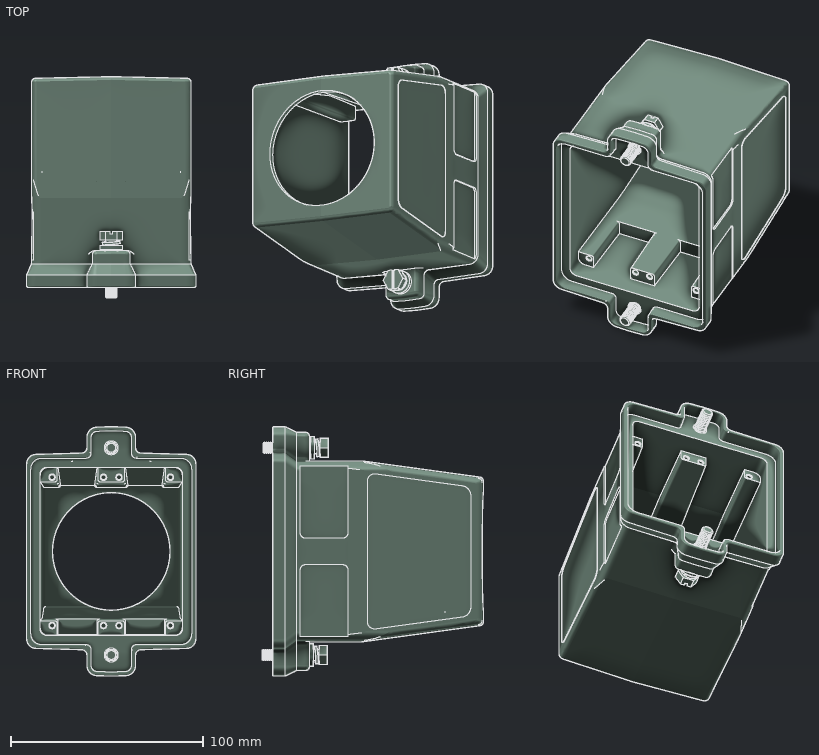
import cadquery as cq
import math


CLEARANCE = 1.3

FLANGE_HALF_X = 88.3 / 2
FLANGE_EDGE_Z = 50.5
FLANGE_CROWN_Z = 51.4
FLANGE_CORNER_R = 5.1
FLANGE_Y = 6.5
BODY_START_Y = 12.4
RIM_ROUND = 0.8

TAB_HALF_X = 12.7
TAB_RIDGE_Z = 65.0
TAB_EDGE_Z = 64.6
TAB_CORNER_R = 5.5
TAB_JUNCTION_R = 2.6
TAB_TAPER = 2.9
TAB_BACK_Y = 19.2
TAB_FLARE_Z = 46.9
TAB_FLARE_MARGIN = 0.8
TAB_BACK_ROUND = 2.3
SCREW_Z = 54.0
SCREW_HOLE_D = 7.3

RIM_WALL = 2.0
RIM_INNER_ROUND = 0.4
RECESS_Y = 6.5
RECESS_HALF_Z = 48.8
RECESS_CORNER_R = 5.7
RECESS_DRAFT = 0.3

BODY_HALF_X = 41.6
BODY_EDGE_Z = 46.4
BODY_RIDGE_Z = 47.2
BODY_CORNER_R = 5.2
SLOPE_START_Y = 46.4
BACK_Y = 109.8
BACK_SIDE_Y = 109.0
BACK_DROP_Z = 8.7
SLOPE_CORNER_R = 3.0
BACK_ROUND = 2.2

WAIST_DEPTH = 0.4
WAIST_Y = 39.3
RAMP_END_Y = 49.3
GRIP_HALF_X = 40.5
GRIP_START_Y = 14.3
GRIP_INNER_Z = 6.9
GRIP_CORNER_R = 2.9
LABEL_DEPTH = 0.3
LABEL_BACK_Y = 103.2
LABEL_FRONT_Z = 41.0
LABEL_BACK_Z = 33.5
LABEL_FRONT_R = 3.9
LABEL_BACK_R = 5.2

CAVITY_HALF_X = 37.2
CAVITY_BACK_HALF_X = 35.1
CAVITY_HALF_Z = 43.8
CAVITY_CORNER_R = 3.9
CAVITY_BACK_Y = 106.0
CAVITY_BACK_ROUND = 1.0
POST_FRONT_Y = 16.2
POST_INNER_Z = 36.1
UPPER_BACK_Z = 33.3
ROOF_BACK_Z = 34.3
POST_ROUND = 1.3
FLOOR_BEND_Y = 66.3
FLOOR_BEND_Z = 34.7
FLOOR_BEND_R = 44.2
FLOOR_BACK_Z = 29.4
CABLE_HOLE_R = 30.5
CABLE_HOLE_START_Y = 91.0

POCKET_INNER_X = 6.9
POCKET_OUTER_X = 28.2
POCKET_DEEP_Z = 43.2
POST_SIDE_DRAFT = 1.8

MOUNT_X = (4.0, 30.8)
MOUNT_Z = 38.6
MOUNT_HOLE_R = 1.3
MOUNT_MOUTH_R = 1.7
MOUNT_DEPTH = 13.0

HEAD_FLATS = 10.0
HEAD_HEIGHT = 4.3
SLOT_WIDTH = 1.3
SLOT_DEPTH = 1.2
SPRING_WASHER_R = 4.7
SPRING_WASHER_T = 1.2
SPRING_WASHER_TILT = 6.0
WASHER_R = 6.0
WASHER_T = 2.0
WASHER_TO_HEAD = 3.0
THREAD_R = 3.0
THREAD_ROOT_R = 2.5
THREAD_PITCH = 1.0
THREAD_TURNS = 12
TIP_CHAMFER = 0.6
BOLT_LENGTH = 24.8
UPPER_BOLT_LIFT = 0.58


def rounded_wire(corners, place):
    """Closed wire through corners (u, v, radius); place(u, v) gives the point in space."""
    starts, middles, ends = [], [], []
    count = len(corners)
    for i, (u, v, radius) in enumerate(corners):
        here = cq.Vector(u, v)
        back = (cq.Vector(*corners[i - 1][:2]) - here).normalized()
        ahead = (cq.Vector(*corners[(i + 1) % count][:2]) - here).normalized()
        half_angle = back.getAngle(ahead) / 2
        tangent = radius / math.tan(half_angle)
        to_arc = radius / math.sin(half_angle) - radius
        starts.append(here + back * tangent)
        ends.append(here + ahead * tangent)
        middles.append(here + (back + ahead).normalized() * to_arc if radius else here)
    starts, middles, ends = ([place(p.x, p.y) for p in group] for group in (starts, middles, ends))
    edges = []
    for i in range(count):
        if corners[i][2]:
            edges.append(cq.Edge.makeThreePointArc(starts[i], middles[i], ends[i]))
        edges.append(cq.Edge.makeLine(ends[i], starts[(i + 1) % count]))
    return cq.Wire.assembleEdges(edges)


def section(corners, y):
    """Wire of (x, z, radius) corners in the plane at this Y."""
    return rounded_wire(corners, lambda x, z: cq.Vector(x, y, z))


def prism(corners, y_start, y_end):
    """Outline of (x, z, radius) corners extruded along Y."""
    wire = section(corners, y_start)
    return cq.Workplane(obj=cq.Solid.extrudeLinear(wire, [], cq.Vector(0, y_end - y_start, 0)))


def taper(start_corners, y_start, end_corners, y_end):
    """Ruled solid between two outlines with matching corners."""
    wires = [section(start_corners, y_start), section(end_corners, y_end)]
    return cq.Workplane(obj=cq.Solid.makeLoft(wires, True))


def side_prism(corners, x_start, x_end):
    """Outline of (y, z, radius) corners extruded along X."""
    wire = rounded_wire(corners, lambda y, z: cq.Vector(x_start, y, z))
    return cq.Workplane(obj=cq.Solid.extrudeLinear(wire, [], cq.Vector(x_end - x_start, 0, 0)))


def plan_prism(corners, half_z):
    """Outline of (x, y, radius) corners extruded along Z, centred on Z = 0."""
    wire = rounded_wire(corners, lambda x, y: cq.Vector(x, y, -half_z))
    return cq.Workplane(obj=cq.Solid.extrudeLinear(wire, [], cq.Vector(0, 0, 2 * half_z)))


def four_way(quarter):
    """Complete an outline from its +X +Z quarter, listed from the right side up to the top."""
    left = [(-x, z, r) for x, z, r in reversed(quarter) if x > 0]
    upper = quarter + left
    return upper + [(-x, -z, r) for x, z, r in upper]


def box(x_range, y_range, z_range):
    size = [high - low for low, high in (x_range, y_range, z_range)]
    corner = (x_range[0], y_range[0], z_range[0])
    return cq.Workplane("XY").box(*size, centered=False).translate(corner)


def rod(radius, y_start, y_end, x=0, z=0):
    """Cylinder along Y."""
    axis = cq.Vector(0, 1, 0)
    return cq.Workplane(obj=cq.Solid.makeCylinder(radius, y_end - y_start, cq.Vector(x, y_start, z), axis))


def flange_outline(half_x, edge_z, crown_z, corner_r, tab_half_x, tab_inset, tab_r):
    return four_way([
        (half_x, edge_z, corner_r),
        (tab_half_x, crown_z, TAB_JUNCTION_R),
        (tab_half_x, TAB_EDGE_Z - tab_inset, tab_r),
        (0, TAB_RIDGE_Z - tab_inset, 0),
    ])


def make_flange():
    rim_outline = flange_outline(
        FLANGE_HALF_X, FLANGE_EDGE_Z, FLANGE_CROWN_Z, FLANGE_CORNER_R,
        TAB_HALF_X, 0, TAB_CORNER_R,
    )
    base_outline = flange_outline(
        BODY_HALF_X, BODY_EDGE_Z, BODY_RIDGE_Z, BODY_CORNER_R,
        TAB_HALF_X - TAB_TAPER, TAB_TAPER, TAB_CORNER_R - TAB_TAPER,
    )
    rim = prism(rim_outline, 0, FLANGE_Y).faces("<Y").edges().fillet(RIM_ROUND)
    return rim.union(taper(rim_outline, FLANGE_Y, base_outline, BODY_START_Y))


def make_tab_back():
    """Upper tab behind the taper, flared where it meets the roof and rounded at its rear."""
    half_x = TAB_HALF_X - TAB_TAPER
    flare_x = half_x + TAB_JUNCTION_R + TAB_FLARE_MARGIN
    quarter = [
        (flare_x, BODY_EDGE_Z - TAB_JUNCTION_R, 0),
        (flare_x, TAB_FLARE_Z, 0),
        (half_x, TAB_FLARE_Z, TAB_JUNCTION_R),
        (half_x, TAB_EDGE_Z - TAB_TAPER, TAB_CORNER_R - TAB_TAPER),
        (0, TAB_RIDGE_Z - TAB_TAPER, 0),
    ]
    outline = quarter + [(-x, z, r) for x, z, r in reversed(quarter) if x > 0]
    tab = prism(outline, BODY_START_Y, TAB_BACK_Y)
    above_roof = cq.selectors.BoxSelector(
        (-half_x - 1.3, TAB_BACK_Y - 1.3, BODY_RIDGE_Z), (half_x + 1.3, TAB_BACK_Y + 1.3, TAB_RIDGE_Z)
    )
    return tab.faces(">Y").edges(above_roof).fillet(TAB_BACK_ROUND)


def flange_recess():
    def outline(draft):
        wall = RIM_WALL + draft
        half_z = RECESS_HALF_Z - draft
        return flange_outline(
            FLANGE_HALF_X - wall, half_z, half_z, RECESS_CORNER_R,
            TAB_HALF_X - wall, wall, TAB_CORNER_R - wall,
        )

    return taper(outline(0), 0, outline(RECESS_DRAFT), RECESS_Y)


def roof_outline(corner_r, drop=0.0):
    """Body cross-section: roof and floor rise slightly to a ridge on the centre plane."""
    return four_way([
        (BODY_HALF_X, BODY_EDGE_Z - drop, corner_r),
        (0, BODY_RIDGE_Z - drop, 0),
    ])


def make_body():
    straight = prism(roof_outline(SLOPE_CORNER_R), BODY_START_Y, SLOPE_START_Y)
    sloped = taper(
        roof_outline(SLOPE_CORNER_R), SLOPE_START_Y,
        roof_outline(SLOPE_CORNER_R, BACK_DROP_Z), BACK_Y,
    )
    outside_x = BODY_HALF_X + CLEARANCE
    rear_crown = plan_prism([
        (-outside_x, 0, 0), (outside_x, 0, 0), (outside_x, BACK_SIDE_Y, 0),
        (0, BACK_Y, 0), (-outside_x, BACK_SIDE_Y, 0),
    ], BODY_RIDGE_Z)
    body = straight.union(sloped).intersect(rear_crown)

    def on_rear_rim(edge):
        middle = edge.Center()
        is_crease = abs(middle.x) < 1.3 and abs(middle.z) < 1.3
        return edge.BoundingBox().ymin > BACK_SIDE_Y - 0.1 and not is_crease

    body = body.edges().filter(on_rear_rim).fillet(BACK_ROUND)
    return body.intersect(prism(roof_outline(BODY_CORNER_R), BODY_START_Y, BACK_Y))


def side_features():
    """Everything shaved off the +X side: the waist, the two grip panels and the label panel."""
    outside_x = BODY_HALF_X + CLEARANCE
    waist = plan_prism([
        (BODY_HALF_X, BODY_START_Y, 0), (outside_x, BODY_START_Y, 0), (outside_x, RAMP_END_Y, 0),
        (BODY_HALF_X, RAMP_END_Y, 0), (BODY_HALF_X - WAIST_DEPTH, WAIST_Y, 0),
    ], BODY_RIDGE_Z)
    label = side_prism([
        (RAMP_END_Y, -LABEL_FRONT_Z, LABEL_FRONT_R), (LABEL_BACK_Y, -LABEL_BACK_Z, LABEL_BACK_R),
        (LABEL_BACK_Y, LABEL_BACK_Z, LABEL_BACK_R), (RAMP_END_Y, LABEL_FRONT_Z, LABEL_FRONT_R),
    ], BODY_HALF_X - LABEL_DEPTH, outside_x)
    features = [waist, label]
    for side in (1, -1):
        features.append(side_prism([
            (GRIP_START_Y, side * GRIP_INNER_Z, GRIP_CORNER_R), (WAIST_Y, side * GRIP_INNER_Z, GRIP_CORNER_R),
            (WAIST_Y, side * BODY_RIDGE_Z, 0), (GRIP_START_Y, side * BODY_RIDGE_Z, 0),
        ], GRIP_HALF_X, outside_x))
    return features


def cavity_half_x(y):
    """Half width of the cavity, narrowing evenly from the flange recess to the rear."""
    progress = (y - RECESS_Y) / (CAVITY_BACK_Y - RECESS_Y)
    return CAVITY_HALF_X + progress * (CAVITY_BACK_HALF_X - CAVITY_HALF_X)


def floor_z(y):
    """Half height of the post faces and of the floor behind them, up to the floor bend."""
    progress = (y - POST_FRONT_Y) / (FLOOR_BEND_Y - POST_FRONT_Y)
    return POST_INNER_Z + progress * (FLOOR_BEND_Z - POST_INNER_Z)


def front_space():
    """Full-height space from the recess to the slope start."""
    mouth = four_way([(CAVITY_HALF_X, CAVITY_HALF_Z, CAVITY_CORNER_R)])
    inner_end = four_way([(cavity_half_x(SLOPE_START_Y), POCKET_DEEP_Z, CAVITY_CORNER_R)])
    return taper(mouth, RECESS_Y, inner_end, SLOPE_START_Y)


def rear_space():
    """Space behind the slope start, with a sloping roof and a bent floor."""
    length_profile = side_prism([
        (SLOPE_START_Y, -floor_z(SLOPE_START_Y), 0), (FLOOR_BEND_Y, -FLOOR_BEND_Z, FLOOR_BEND_R),
        (CAVITY_BACK_Y, -FLOOR_BACK_Z, 0), (CAVITY_BACK_Y, ROOF_BACK_Z, 0), (SLOPE_START_Y, POCKET_DEEP_Z, 0),
    ], -CAVITY_HALF_X, CAVITY_HALF_X)
    front_half_x = cavity_half_x(SLOPE_START_Y)
    plan = plan_prism([
        (-front_half_x, SLOPE_START_Y, 0), (front_half_x, SLOPE_START_Y, 0),
        (CAVITY_BACK_HALF_X, CAVITY_BACK_Y, 0), (-CAVITY_BACK_HALF_X, CAVITY_BACK_Y, 0),
    ], CAVITY_HALF_Z)
    space = length_profile.intersect(plan)
    return space.faces(">Y").edges("|Z or <Z").fillet(CAVITY_BACK_ROUND)


def post(inner_x, outer_x, end, back_y, back_z):
    """Drafted post with rounded lengthwise edges; end is 1 at the roof and -1 at the floor."""
    draft = POST_SIDE_DRAFT * (back_y - POST_FRONT_Y) / (CAVITY_BACK_Y - POST_FRONT_Y)

    def outline(face_z, widen):
        return [
            (inner_x - widen, end * FLANGE_EDGE_Z, 0), (inner_x - widen, end * face_z, POST_ROUND),
            (outer_x + widen, end * face_z, POST_ROUND), (outer_x + widen, end * FLANGE_EDGE_Z, 0),
        ]

    return taper(outline(POST_INNER_Z, 0), POST_FRONT_Y, outline(back_z, draft), back_y)


def make_cavity():
    cavity = front_space().union(rear_space())
    wall_x = FLANGE_HALF_X
    post_ranges = (
        (-wall_x, -POCKET_OUTER_X), (-POCKET_INNER_X, POCKET_INNER_X), (POCKET_OUTER_X, wall_x)
    )
    for inner_x, outer_x in post_ranges:
        cavity = cavity.cut(post(inner_x, outer_x, 1, CAVITY_BACK_Y, UPPER_BACK_Z))
        cavity = cavity.cut(post(inner_x, outer_x, -1, SLOPE_START_Y, floor_z(SLOPE_START_Y)))
    return cavity


def mounting_hole(x, z):
    hole = rod(MOUNT_HOLE_R, POST_FRONT_Y, POST_FRONT_Y + MOUNT_DEPTH, x, z)
    mouth_depth = MOUNT_MOUTH_R - MOUNT_HOLE_R
    mouth = cq.Solid.makeCone(
        MOUNT_MOUTH_R, MOUNT_HOLE_R, mouth_depth, cq.Vector(x, POST_FRONT_Y, z), cq.Vector(0, 1, 0)
    )
    return hole.union(cq.Workplane(obj=mouth))


def make_housing():
    housing = make_body().union(make_flange())
    tab = make_tab_back()
    housing = housing.union(tab).union(tab.mirror("XY"))
    for feature in side_features():
        housing = housing.cut(feature).cut(feature.mirror("YZ"))
    housing = housing.cut(flange_recess())
    housing = housing.faces("<Y").wires().item(1).edges().fillet(RIM_INNER_ROUND)
    housing = housing.cut(make_cavity())
    housing = housing.cut(rod(CABLE_HOLE_R, CABLE_HOLE_START_Y, BACK_Y + CLEARANCE))
    for end in (1, -1):
        housing = housing.cut(rod(SCREW_HOLE_D / 2, RECESS_Y, TAB_BACK_Y + CLEARANCE, z=end * SCREW_Z))
        for x in MOUNT_X:
            for side in (1, -1):
                housing = housing.cut(mounting_hole(side * x, end * MOUNT_Z))
    return housing


def make_bolt(seat_y, z):
    """Slotted hexagon bolt with its washers; the washer seat lies at seat_y."""
    tip_y = -BOLT_LENGTH
    head_y = WASHER_T + WASHER_TO_HEAD
    top_y = head_y + HEAD_HEIGHT

    points = [(0, tip_y), (THREAD_R - TIP_CHAMFER, tip_y), (THREAD_R, tip_y + TIP_CHAMFER)]
    for turn in range(THREAD_TURNS):
        crest_y = tip_y + TIP_CHAMFER + turn * THREAD_PITCH
        points += [(THREAD_ROOT_R, crest_y + THREAD_PITCH / 2), (THREAD_R, crest_y + THREAD_PITCH)]
    points += [(THREAD_R, head_y), (0, head_y)]
    bolt = cq.Workplane("XY").polyline(points).close().revolve(360, (0, 0), (0, 1))

    head = (
        cq.Workplane("XZ", origin=(0, top_y, 0))
        .polygon(6, HEAD_FLATS / math.cos(math.pi / 6))
        .extrude(HEAD_HEIGHT)
    )
    slot = box((-SLOT_WIDTH / 2, SLOT_WIDTH / 2), (top_y - SLOT_DEPTH, top_y), (-HEAD_FLATS, HEAD_FLATS))
    spring_y = WASHER_T + (WASHER_TO_HEAD - SPRING_WASHER_T) / 2
    spring_washer = rod(SPRING_WASHER_R, spring_y, spring_y + SPRING_WASHER_T)
    spring_middle = (0, spring_y + SPRING_WASHER_T / 2, 0)
    tilt_axis_end = (1.3, spring_middle[1], 1.3)
    spring_washer = spring_washer.rotate(spring_middle, tilt_axis_end, SPRING_WASHER_TILT)
    bolt = bolt.union(head.cut(slot)).union(rod(WASHER_R, 0, WASHER_T)).union(spring_washer)
    return bolt.translate((0, seat_y, z))


housing = make_housing()
bolts = [
    make_bolt(TAB_BACK_Y + lift, z)
    for lift, z in ((UPPER_BOLT_LIFT, SCREW_Z), (0, -SCREW_Z))
]
result = cq.Compound.makeCompound([housing.val(), *[bolt.val() for bolt in bolts]])